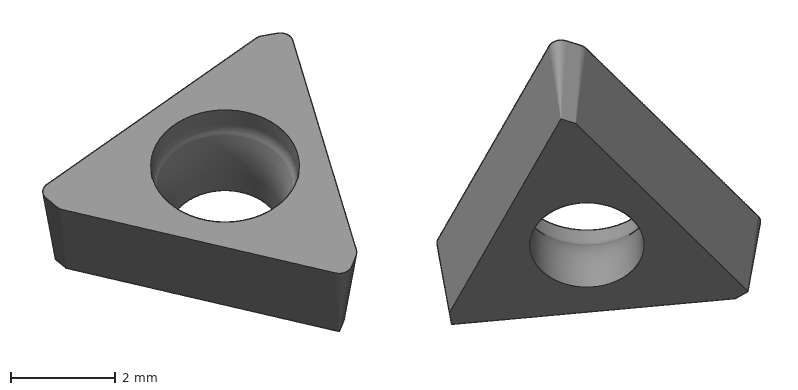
import math

import cadquery as cq

THICKNESS = 1.98
RELIEF_ANGLE = 7.0
INSCRIBED_RADIUS = 1.985
WIPER_DISTANCE = 3.08
EDGE_RADIUS = 0.25

MOUTH_RADIUS = 1.43
WALL_RADIUS = 1.398
WALL_DEPTH = 0.375
CONE_RADIUS = 1.35
CONE_DEPTH = 0.52
SEAT_RADIUS = 1.305
SEAT_DEPTH = 0.585
BORE_RADIUS = 1.10
BORE_DEPTH = 1.385

CORNER_COUNT = 3
FULL_TURN = 360


def turned(x, y, degrees):
    """Turn the point (x, y) about the origin."""
    angle = math.radians(degrees)
    return (
        x * math.cos(angle) - y * math.sin(angle),
        x * math.sin(angle) + y * math.cos(angle),
    )


def make_body():
    """Rounded triangle with wiper flats, tapering inward toward the bottom."""
    edge = INSCRIBED_RADIUS - EDGE_RADIUS
    wiper = WIPER_DISTANCE - EDGE_RADIUS
    wiper_end = 2 * edge - math.sqrt(3) * wiper

    outline = []
    for corner in range(CORNER_COUNT):
        turn = corner * FULL_TURN / CORNER_COUNT
        outline.append(turned(-edge, -wiper, turn))
        outline.append(turned(wiper_end, -wiper, turn))

    return (
        cq.Workplane("XY")
        .polyline(outline)
        .close()
        .offset2D(EDGE_RADIUS, "arc")
        .extrude(-THICKNESS, taper=RELIEF_ANGLE)
    )


def make_screw_hole():
    """Revolved cutter: steep wall, rounded blend, short cone, curved seat, straight bore."""
    seat_rise = BORE_DEPTH - SEAT_DEPTH
    seat_run = SEAT_RADIUS - BORE_RADIUS
    seat_arc_radius = (seat_rise**2 + seat_run**2) / (2 * seat_run)
    half_sweep = math.asin(seat_rise / seat_arc_radius) / 2
    seat_middle = (
        BORE_RADIUS + seat_arc_radius * (1 - math.cos(half_sweep)),
        -BORE_DEPTH + seat_arc_radius * math.sin(half_sweep),
    )

    return (
        cq.Workplane("XZ")
        .lineTo(MOUTH_RADIUS, 0)
        .lineTo(WALL_RADIUS, -WALL_DEPTH)
        .tangentArcPoint((CONE_RADIUS, -CONE_DEPTH), relative=False)
        .lineTo(SEAT_RADIUS, -SEAT_DEPTH)
        .threePointArc(seat_middle, (BORE_RADIUS, -BORE_DEPTH))
        .lineTo(BORE_RADIUS, -THICKNESS)
        .lineTo(0, -THICKNESS)
        .close()
        .revolve(FULL_TURN, (0, 0, 0), (0, 1, 0))
    )


result = make_body().cut(make_screw_hole())